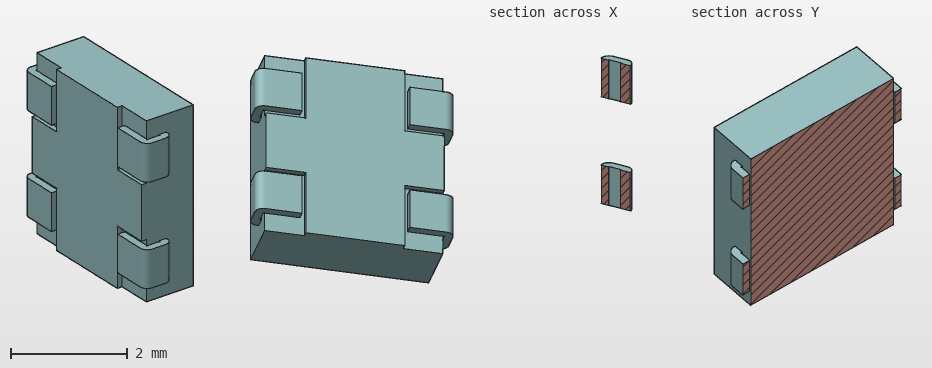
import cadquery as cq

body_width = 3.15
body_height = 3.5
standoff = 0.05
overall_depth = 1.15
body_depth = overall_depth - standoff

lead_span = 3.5
lead_thickness = 0.15
lead_height = 0.75
lead_pitch = 2.055
lead_foot_length = 0.798
lead_rise = 0.578
left_hook_thickness = 0.195
right_hook_thickness = lead_thickness

recess_width = 0.7
recess_height = 1.205
recess_depth = lead_thickness - standoff


def make_body():
    body = cq.Workplane("XY").box(body_width, body_depth, body_height)
    return body.translate((0, standoff + body_depth / 2, 0))


def make_recess(side, level):
    """Pocket open at one corner of the mounting face."""
    recess = cq.Workplane("XY").box(recess_width, recess_depth, recess_height)
    center_x = side * (body_width - recess_width) / 2
    center_z = level * (body_height - recess_height) / 2
    return recess.translate((center_x, standoff + recess_depth / 2, center_z))


def make_left_lead(level, hook_thickness):
    """C-shaped strip on the -X side: foot, upright and a hook ending at the body side."""
    outer_x = -lead_span / 2
    inner_x = outer_x + lead_thickness
    foot_tip_x = outer_x + lead_foot_length
    body_side_x = -body_width / 2
    hook_y = lead_rise - hook_thickness
    bend_radius = lead_thickness

    profile = (
        cq.Workplane("XY")
        .moveTo(foot_tip_x, 0)
        .lineTo(outer_x + bend_radius, 0)
        .radiusArc((outer_x, bend_radius), bend_radius)
        .lineTo(outer_x, lead_rise - bend_radius)
        .radiusArc((outer_x + bend_radius, lead_rise), bend_radius)
        .lineTo(body_side_x, lead_rise)
        .lineTo(body_side_x, hook_y)
        .lineTo(inner_x, hook_y)
        .lineTo(inner_x, lead_thickness)
        .lineTo(foot_tip_x, lead_thickness)
        .close()
    )
    lead = profile.extrude(lead_height / 2, both=True)
    return lead.translate((0, 0, level * lead_pitch / 2))


result = make_body()
for level in (-1, 1):
    left_lead = make_left_lead(level, left_hook_thickness)
    right_lead = make_left_lead(level, right_hook_thickness).mirror("YZ")
    for side, lead in ((-1, left_lead), (1, right_lead)):
        result = result.cut(make_recess(side, level)).union(lead)